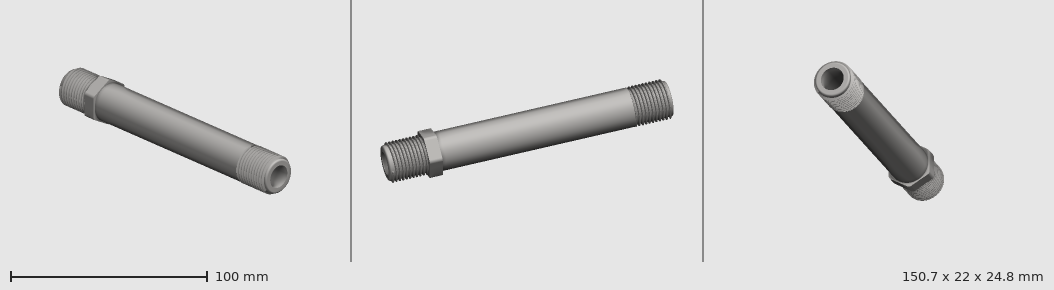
import cadquery as cq
import math

total_length = 150.7
bore_diameter = 12.2
body_diameter = 20.5
end_fillet = 1.0

hex_sides = 6
hex_start = 20.6
hex_width = 6.8
hex_across_flats = 22.0
hex_corner_radius = 2.0

pitch = 25.4 / 14
core_radius = 9.3
crest_radius = 10.5
root_overlap = 0.2
ridge_base_width = 1.3
ridge_crest_width = 0.2

near_thread_start = 1.65
near_thread_turns = 10.8
near_thread_angle = -110

far_thread_length = 20.6
shoulder = total_length - far_thread_length
far_thread_offset = 0.1
far_thread_turns = 10.35
far_thread_angle = 180


def cylinder(start, end, radius):
    """Solid cylinder along X."""
    return cq.Workplane("YZ", origin=(start, 0, 0)).circle(radius).extrude(end - start)


def core():
    """Full-length core with both end rims rounded."""
    return cylinder(0, total_length, core_radius).faces("<X or >X").edges().fillet(end_fillet)


def hex_collar():
    """Hexagon with two flats square to Y and its corners rounded."""
    half_side_angle = 180 / hex_sides
    across_corners = hex_across_flats / math.cos(math.radians(half_side_angle))
    return (
        cq.Workplane("YZ", origin=(hex_start, 0, 0))
        .polygon(hex_sides, across_corners)
        .extrude(hex_width)
        .edges("|X")
        .fillet(hex_corner_radius)
        .rotate((0, 0, 0), (1, 0, 0), half_side_angle)
    )


def thread_ridge(start, turns, start_angle):
    """Right-hand helical ridge; start_angle is measured about X from the -Z side."""
    root_radius = core_radius - root_overlap
    helix = cq.Wire.makeHelix(pitch, pitch * turns, root_radius)
    half_base = ridge_base_width / 2
    half_crest = ridge_crest_width / 2
    ridge = (
        cq.Workplane("XZ")
        .polyline(
            [
                (root_radius, -half_base),
                (crest_radius, -half_crest),
                (crest_radius, half_crest),
                (root_radius, half_base),
            ]
        )
        .close()
        .sweep(cq.Workplane(obj=helix), isFrenet=True)
    )
    ridge = ridge.rotate((0, 0, 0), (0, 1, 0), 90)
    ridge = ridge.rotate((0, 0, 0), (1, 0, 0), start_angle)
    return ridge.translate((start, 0, 0))


pipe = core().union(cylinder(hex_start, shoulder, body_diameter / 2)).union(hex_collar())
pipe = pipe.union(thread_ridge(near_thread_start, near_thread_turns, near_thread_angle))
pipe = pipe.union(thread_ridge(shoulder + far_thread_offset, far_thread_turns, far_thread_angle))

result = pipe.cut(cylinder(0, total_length, bore_diameter / 2))